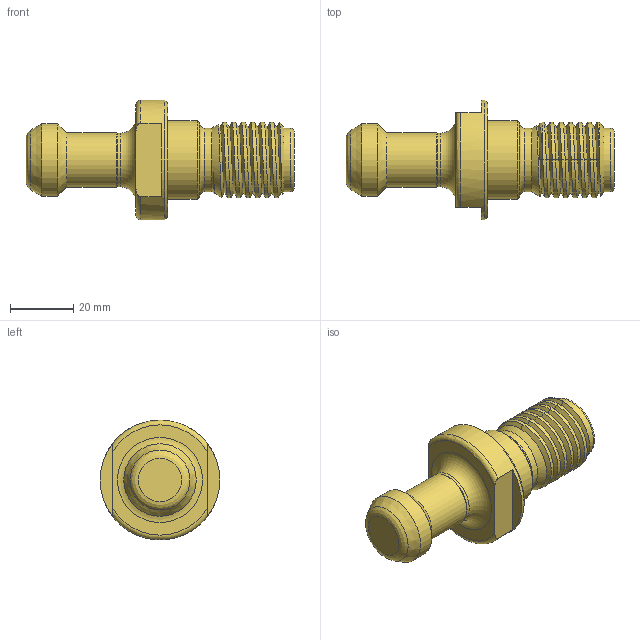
import cadquery as cq
import math


head_radius = 11.5
head_cone_length = 5.0
head_cone_angle = 30.0
head_fillet = 3.0
head_back_x = 10.05

neck_radius = 8.6
neck_end_x = 28.7
neck_step_length = 0.2
root_radius = 8.5
root_fillet = 5.0

flange_radius = 19.0
flange_front_x = 34.9
flange_back_x = 44.95
flange_fillet = 1.5
flange_chamfer = 0.9
flat_half_width = 15.0
flat_end_x = 43.0

pilot_radius = 12.5
pilot_end_x = 55.0
pilot_chamfer = 0.7
core_radius = 10.1
relief_fillet = pilot_radius - pilot_chamfer - core_radius
relief_end_x = 59.0

thread_radius = 12.0
thread_pitch = 3.0
thread_lead_in_angle = 30.0
thread_end_x = 81.85
thread_end_chamfer_length = 1.3
groove_root_radius = 10.35
groove_half_angle = 30.0
groove_overshoot = 0.3
groove_start_x = 58.5
groove_turns = 8

total_length = 85.05
end_fillet = 1.0


def make_turned_body():
    """Revolve the half outline of the stud about the X axis."""
    cone_slope = math.tan(math.radians(head_cone_angle))
    face_corner_radius = head_radius - head_cone_length * cone_slope

    half_turn = math.radians((90 - head_cone_angle) / 2)
    tangent_length = head_fillet * math.tan(half_turn)
    face_radius = face_corner_radius - tangent_length
    mid_turn = (
        head_fillet * (1 - math.cos(half_turn)),
        face_radius + head_fillet * math.sin(half_turn),
    )
    cone_start = (
        tangent_length * math.cos(math.radians(head_cone_angle)),
        face_corner_radius + tangent_length * math.sin(math.radians(head_cone_angle)),
    )

    head_back_length = head_radius - neck_radius
    lead_in_length = (thread_radius - core_radius) / math.tan(math.radians(thread_lead_in_angle))

    outline = (
        cq.Workplane("XZ")
        .moveTo(0, 0)
        .lineTo(0, face_radius)
        .threePointArc(mid_turn, cone_start)
        .lineTo(head_cone_length, head_radius)
        .lineTo(head_back_x, head_radius)
        .lineTo(head_back_x + head_back_length, neck_radius)
        .lineTo(neck_end_x, neck_radius)
        .lineTo(neck_end_x + neck_step_length, root_radius)
        .lineTo(flange_front_x - root_fillet, root_radius)
        .radiusArc((flange_front_x, root_radius + root_fillet), -root_fillet)
        .lineTo(flange_front_x, flange_radius - flange_fillet)
        .radiusArc((flange_front_x + flange_fillet, flange_radius), flange_fillet)
        .lineTo(flange_back_x - flange_chamfer, flange_radius)
        .lineTo(flange_back_x, flange_radius - flange_chamfer)
        .lineTo(flange_back_x, pilot_radius)
        .lineTo(pilot_end_x - pilot_chamfer, pilot_radius)
        .lineTo(pilot_end_x, pilot_radius - pilot_chamfer)
        .radiusArc((pilot_end_x + relief_fillet, core_radius), -relief_fillet)
        .lineTo(relief_end_x, core_radius)
        .lineTo(relief_end_x + lead_in_length, thread_radius)
        .lineTo(thread_end_x - thread_end_chamfer_length, thread_radius)
        .lineTo(thread_end_x, core_radius)
        .lineTo(total_length - end_fillet, core_radius)
        .radiusArc((total_length, core_radius - end_fillet), end_fillet)
        .lineTo(total_length, 0)
        .close()
    )
    return outline.revolve(360, (0, 0, 0), (1, 0, 0))


def make_flat_cutter(side):
    """Block that mills one wrench flat on the +Y (1) or -Y (-1) side of the flange."""
    depth = flange_radius - flat_half_width
    length = flat_end_x - flange_front_x
    return (
        cq.Workplane("XY")
        .box(length, depth, 2 * flange_radius, centered=(False, True, True))
        .translate((flange_front_x, side * (flat_half_width + depth / 2), 0))
    )


def make_groove_turn():
    """One turn of the sharp V groove on a right-hand helix, starting on the +Z side."""
    outer_radius = thread_radius + groove_overshoot
    half_width = (outer_radius - groove_root_radius) * math.tan(math.radians(groove_half_angle))
    helix = cq.Wire.makeHelix(thread_pitch, thread_pitch, groove_root_radius)
    groove = (
        cq.Workplane("XZ")
        .polyline([
            (groove_root_radius, 0),
            (outer_radius, half_width),
            (outer_radius, -half_width),
        ])
        .close()
        .sweep(cq.Workplane(obj=helix), isFrenet=True)
    )
    return (
        groove.rotate((0, 0, 0), (0, 1, 0), 90)
        .rotate((0, 0, 0), (1, 0, 0), 180)
        .translate((groove_start_x, 0, 0))
    )


result = make_turned_body()
for flat_side in (-1, 1):
    result = result.cut(make_flat_cutter(flat_side))
groove_turn = make_groove_turn()
for turn in range(groove_turns):
    result = result.cut(groove_turn.translate((turn * thread_pitch, 0, 0)))